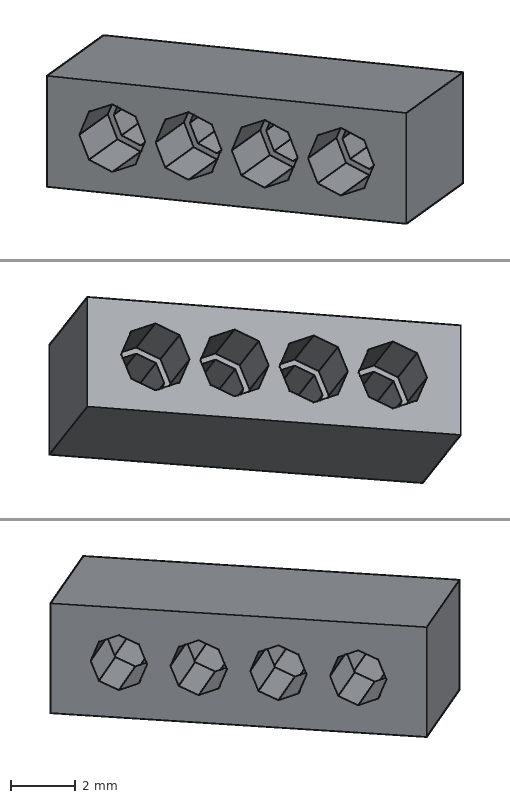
import cadquery as cq

length = 12
depth = 5.0
height = 3.6

socket_count = 4
socket_pitch = 2.55
socket_sides = 8
socket_width = 2.2
hole_width = 1.8
socket_depth = depth / 2

socket_centers = [
    ((index - (socket_count - 1) / 2) * socket_pitch, 0)
    for index in range(socket_count)
]


def octagon_cutters(corner_width, cut_depth):
    """Octagonal prisms running from the front face toward +Y."""
    return (
        cq.Workplane("XZ", origin=(0, -depth / 2, 0))
        .pushPoints(socket_centers)
        .polygon(socket_sides, corner_width)
        .extrude(-cut_depth)
    )


block = cq.Workplane("XY").box(length, depth, height)

result = (
    block
    .cut(octagon_cutters(hole_width, depth))
    .cut(octagon_cutters(socket_width, socket_depth))
)